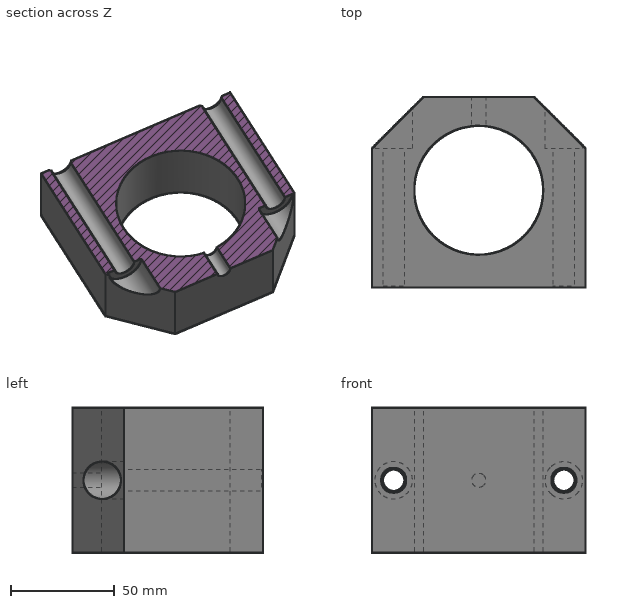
import cadquery as cq

width = 103.0
depth = 92.0
height = 70.0
corner_chamfer = 24.9

bore_diameter = 62.0
bore_from_back = 45.0

hole_spacing = 82.0
hole_diameter = 10.3
countersink_diameter = 12.0
countersink_depth = (countersink_diameter - hole_diameter) / 2
head_diameter = 18.0
head_seat_from_back = corner_chamfer

cross_hole_diameter = 6.8

front_y = -depth / 2
back_y = depth / 2


def make_block():
    """Block with its two rear vertical edges cut at 45 degrees."""
    block = cq.Workplane("XY").box(width, depth, height)
    return block.edges("|Z and >Y").chamfer(corner_chamfer)


def make_bore():
    """Round cutter through the full height."""
    return (
        cq.Workplane("XY", origin=(0, back_y - bore_from_back, -height / 2))
        .circle(bore_diameter / 2)
        .extrude(height)
    )


def make_mounting_hole(x):
    """Screw hole with a front countersink and a counterbore opening to the back."""
    seat_y = back_y - head_seat_from_back
    profile = [
        (0, front_y),
        (countersink_diameter / 2, front_y),
        (hole_diameter / 2, front_y + countersink_depth),
        (hole_diameter / 2, seat_y),
        (head_diameter / 2, seat_y),
        (head_diameter / 2, back_y),
        (0, back_y),
    ]
    cutter = cq.Workplane("XY").polyline(profile).close().revolve(360, (0, 0, 0), (0, 1, 0))
    return cutter.translate((x, 0, 0))


def make_cross_hole():
    """Round cutter from the back face to the bore axis."""
    return (
        cq.Workplane("XZ", origin=(0, back_y, 0))
        .circle(cross_hole_diameter / 2)
        .extrude(bore_from_back)
    )


result = make_block().cut(make_bore()).cut(make_cross_hole())
for side in (-1, 1):
    result = result.cut(make_mounting_hole(side * hole_spacing / 2))